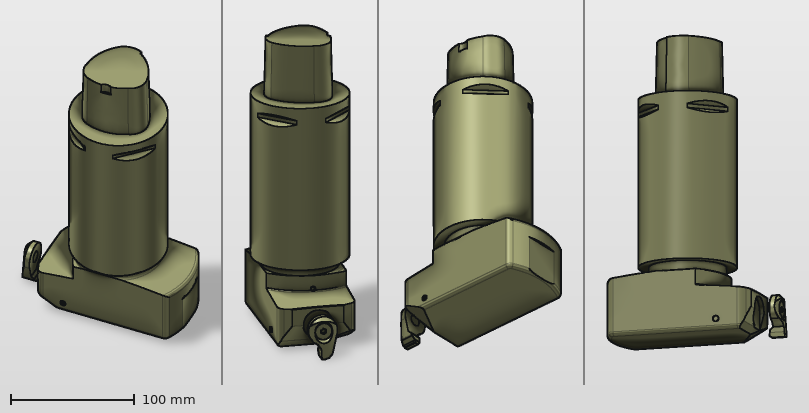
import cadquery as cq
import math


SHANK_HEIGHT = 47.9
LOBE_CENTRE = 10.2
LOBE_RADIUS = 19.3
FLANK_RADIUS = 35.5
SHANK_DRAFT = 1.12
KEY_DIAMETER = 12.5
KEY_DEPTH = 8.0
KEY_AXIS_Y = -28.5

SLEEVE_RADIUS = 80.0 / 2
SLEEVE_BOTTOM = -138.0
NECK_RADIUS = 63.0 / 2
NECK_OVERLAP = 2.5
GRIP_Z = -12.2
GRIP_DEPTH = 4.5
GRIP_FLOOR_HEIGHT = 3.2
GRIP_MOUTH_HEIGHT = 9.5

HEAD_TOP = -145.5
HEAD_BOTTOM = -196.5
HEAD_HALF_WIDTH = 32.2
HEAD_REACH = 65.0
FRONT_X = -61.0
FRONT_CHAMFER_Y = 21.3
FRONT_CHAMFER_LENGTH = 4.0
FRONT_CORNER_RADIUS = 6.5
REAR_CORNER_RADIUS = 5.5
ROOF_START = 36.5
ROOF_SLOPE = 7.7
RIM_RADIUS = 3.0
BOTTOM_RADIUS = 3.2
END_FLAT_X = 63.2
END_FLAT_TOP = -163.2

STEP_WALL_X = -32.7
STEP_WALL_Y = -5.5
STEP_WALL_RADIUS = 53.8
STEP_SLOPE = 7.0
STEP_ROOT_Z = -159.0
STEP_FILLET = 1.0
STEP_EDGE_CHAMFER = 0.5

RELIEF_TOP = -177.3
RELIEF_KNEE = (-57.5, -190.5)
RELIEF_FOOT_X = -54.0
BEVEL_POINT = (-59.0, -28.3, -185.5)
BEVEL_SLOPE_X = 0.53
BEVEL_SLOPE_Y = 0.28

COOLANT_Y = -3.0
COOLANT_Z = -157.0
COOLANT_DIAMETER = 4.0
COOLANT_BORE = 2.7
COOLANT_MOUTH_DEPTH = 1.0
COOLANT_LENGTH = 15.0

INSERT_BACK = -73.5
INSERT_FRONT = -81.8
RIM_FRONT = -78.0
DISC_RADIUS = 24.0 / 2
FACE_RADIUS = 19.8
FACE_TILT = 4.0
TIP_Z = -200.1
POCKET_DEPTH = 3.7
STEM_SIDE_Y = 2.5
STEM_HOLLOW = (4.2, -11.7)
STEM_SIDE_TOP_Z = -14.5
STEM_SIDE_END_Z = -18.5
NOSE_WIDE_Y = 2.0
NOSE_NARROW_Y = -1.2
NOSE_ROOT = (-1.5, -22.3)
TIP_CORNERS = [(-3.7, -22.0), (-7.0, -19.0), (-7.5, -17.9)]
INSERT_SPARE = 3.0
FOOT_BACK = -70.2
FOOT_TOP_Z = -191.7
FOOT_KNEE = (-71.0, -194.0)
FOOT_EDGE_Z = -198.6
FOOT_TIP_X = -72.0
STEM_BLEND = -45
STEM_TANGENT = 195

SCREW_HEAD_DIAMETER = 14.0
SCREW_HEAD_FRONT = -80.0
SCREW_HEAD_HEIGHT = 3.0
SCREW_SHANK_DIAMETER = 9.5
SOCKET_DIAMETER = 4.7
SOCKET_DEPTH = 2.5

PIN_X = -34.7
PIN_Z = -188.0
PIN_DIAMETER = 4.7
PIN_RECESS = 1.5
PIN_PROUD = 1.0
PIN_BORE_DIAMETER = 1.5
PIN_BORE_DEPTH = 3.7

FAR = 148.8


def polar(radius, degrees):
    angle = math.radians(degrees)
    return radius * math.cos(angle), radius * math.sin(angle)


def drop(distance, slope):
    """Fall over a horizontal distance at a slope in degrees."""
    return distance * math.tan(math.radians(slope))


def lobed_outline(z, offset):
    """Constant-width rounded triangle of six 60 degree arcs, shrunk by offset."""
    wire = cq.Workplane("XY", origin=(0, 0, z))
    lobe_radius = LOBE_RADIUS - offset
    flank_radius = FLANK_RADIUS - offset

    def on_arc(centre_angle, radius, angle):
        cx, cy = polar(LOBE_CENTRE, centre_angle)
        dx, dy = polar(radius, angle)
        return cx + dx, cy + dy

    wire = wire.moveTo(*on_arc(90, lobe_radius, 60))
    for lobe in (90, 210, 330):
        wire = wire.threePointArc(on_arc(lobe, lobe_radius, lobe), on_arc(lobe, lobe_radius, lobe + 30))
        flank = lobe + 60
        opposite = flank + 180
        wire = wire.threePointArc(
            on_arc(opposite, flank_radius, flank), on_arc(opposite, flank_radius, flank + 30)
        )
    return wire.close().wire().val()


def make_shank():
    outlines = [lobed_outline(0, 0), lobed_outline(SHANK_HEIGHT, SHANK_DRAFT)]
    shank = cq.Workplane(cq.Solid.makeLoft(outlines, True))
    key = (
        cq.Workplane("XY", origin=(0, KEY_AXIS_Y, SHANK_HEIGHT - KEY_DEPTH))
        .circle(KEY_DIAMETER / 2)
        .extrude(KEY_DEPTH)
    )
    return shank.cut(key)


def make_sleeve():
    sleeve = cq.Workplane("XY").circle(SLEEVE_RADIUS).extrude(SLEEVE_BOTTOM)
    neck = (
        cq.Workplane("XY", origin=(0, 0, SLEEVE_BOTTOM))
        .circle(NECK_RADIUS)
        .extrude(HEAD_TOP - SLEEVE_BOTTOM - NECK_OVERLAP)
    )
    half_floor = GRIP_FLOOR_HEIGHT / 2
    half_mouth = GRIP_MOUTH_HEIGHT / 2
    floor_x = SLEEVE_RADIUS - GRIP_DEPTH
    grip = (
        cq.Workplane("XZ", origin=(0, 0, GRIP_Z))
        .polyline([
            (floor_x, -half_floor),
            (SLEEVE_RADIUS, -half_mouth),
            (SLEEVE_RADIUS, half_mouth),
            (floor_x, half_floor),
        ])
        .close()
        .extrude(SLEEVE_RADIUS, both=True)
    )
    for angle in (45, 135, 225, 315):
        sleeve = sleeve.cut(grip.rotate((0, 0, 0), (0, 0, 1), angle))
    return sleeve.union(neck)


def make_head_block():
    """Plan outline, rounded below, under a roof that turns about the shank axis."""
    end_x = math.sqrt(HEAD_REACH**2 - HEAD_HALF_WIDTH**2)
    block = (
        cq.Workplane("XY", origin=(0, 0, HEAD_BOTTOM))
        .moveTo(FRONT_X, FRONT_CHAMFER_Y)
        .lineTo(FRONT_X + FRONT_CHAMFER_LENGTH, HEAD_HALF_WIDTH)
        .lineTo(end_x, HEAD_HALF_WIDTH)
        .threePointArc((HEAD_REACH, 0), (end_x, -HEAD_HALF_WIDTH))
        .lineTo(FRONT_X + FRONT_CHAMFER_LENGTH, -HEAD_HALF_WIDTH)
        .lineTo(FRONT_X, -FRONT_CHAMFER_Y)
        .close()
        .extrude(HEAD_TOP - HEAD_BOTTOM)
    )
    block = block.edges("|Z").edges(">X").fillet(REAR_CORNER_RADIUS)
    front_corners = cq.selectors.BoxSelector(
        (FRONT_X + FRONT_CHAMFER_LENGTH / 2, -FAR, HEAD_BOTTOM),
        (0, FAR, HEAD_TOP),
    )
    block = block.edges("|Z").edges(front_corners).fillet(FRONT_CORNER_RADIUS)
    block = block.faces("<Z").edges().fillet(BOTTOM_RADIUS)
    end_flat = cq.Workplane("XY").box(FAR, FAR, FAR, centered=(False, True, False))
    block = block.cut(end_flat.translate((END_FLAT_X, 0, END_FLAT_TOP - FAR)))
    rim_z = HEAD_TOP - drop(HEAD_REACH - ROOF_START, ROOF_SLOPE)
    setback = RIM_RADIUS * math.tan(math.radians(90 - ROOF_SLOPE) / 2)
    back, rise = polar(setback, ROOF_SLOPE)
    envelope = (
        cq.Workplane("XZ")
        .moveTo(0, HEAD_BOTTOM)
        .lineTo(HEAD_REACH, HEAD_BOTTOM)
        .lineTo(HEAD_REACH, rim_z - setback)
        .tangentArcPoint((HEAD_REACH - back, rim_z + rise), relative=False)
        .lineTo(ROOF_START, HEAD_TOP)
        .lineTo(0, HEAD_TOP)
        .close()
        .revolve(360, (0, 0, 0), (0, 1, 0))
    )
    return block.intersect(envelope)


def step_cutter():
    """Room above the front step, bounded behind by the curved step wall."""
    wall_frame = cq.Workplane("XZ", origin=(STEP_WALL_X + STEP_WALL_RADIUS, STEP_WALL_Y, 0))
    return (
        wall_frame.moveTo(STEP_WALL_RADIUS, STEP_ROOT_Z)
        .lineTo(FAR, STEP_ROOT_Z - drop(FAR - STEP_WALL_RADIUS, STEP_SLOPE))
        .lineTo(FAR, 0)
        .lineTo(STEP_WALL_RADIUS, 0)
        .close()
        .revolve(360, (0, 0, 0), (0, 1, 0))
    )


def cut_step(head):
    """Step in front of the neck, rounded at the foot of its wall, with a broken front edge."""
    head = head.cut(step_cutter())
    root = cq.selectors.NearestToPointSelector((STEP_WALL_X, STEP_WALL_Y, STEP_ROOT_Z))
    head = head.edges(root).fillet(STEP_FILLET)
    front_z = STEP_ROOT_Z - drop(STEP_WALL_X - FRONT_X, STEP_SLOPE)
    front = cq.selectors.NearestToPointSelector((FRONT_X, 0, front_z))
    return head.edges(front).chamfer(STEP_EDGE_CHAMFER)


def relief_cutter():
    """Two sloping flats under the front face."""
    return (
        cq.Workplane("XZ")
        .moveTo(FRONT_X, RELIEF_TOP)
        .lineTo(*RELIEF_KNEE)
        .lineTo(RELIEF_FOOT_X, HEAD_BOTTOM)
        .lineTo(FRONT_X, HEAD_BOTTOM)
        .close()
        .extrude(HEAD_HALF_WIDTH, both=True)
    )


def bevel_cutter():
    """Room below the bevel of the front bottom corner on the -Y side."""
    normal = (-BEVEL_SLOPE_X, -BEVEL_SLOPE_Y, -1)
    plane = cq.Plane(origin=BEVEL_POINT, normal=normal)
    return cq.Workplane(plane).rect(FAR, FAR).extrude(FAR)


def pocket_cutter():
    """Seat in the front face for the disc of the insert and its stem."""
    plane = cq.Workplane("YZ", origin=(FRONT_X, 0, RELIEF_TOP))
    seat = plane.circle(DISC_RADIUS).extrude(POCKET_DEPTH)
    foot = HEAD_BOTTOM - RELIEF_TOP
    stem = plane.moveTo(-DISC_RADIUS, foot).lineTo(STEM_SIDE_Y, foot).lineTo(STEM_SIDE_Y, 0)
    stem = stem.lineTo(-DISC_RADIUS, 0).close().extrude(POCKET_DEPTH)
    return seat.union(stem)


def coolant_cutter():
    start = cq.Workplane("YZ", origin=(STEP_WALL_X, COOLANT_Y, COOLANT_Z))
    mouth = start.circle(COOLANT_DIAMETER / 2).extrude(COOLANT_MOUTH_DEPTH)
    return mouth.union(start.circle(COOLANT_BORE / 2).extrude(COOLANT_LENGTH))


def pin_hole():
    return (
        cq.Workplane("XZ", origin=(PIN_X, 0, PIN_Z))
        .circle(PIN_DIAMETER / 2)
        .extrude(HEAD_HALF_WIDTH, both=True)
    )


def make_holder():
    head = cut_step(make_head_block())
    head = head.cut(relief_cutter()).cut(bevel_cutter())
    head = head.cut(pocket_cutter()).cut(coolant_cutter()).cut(pin_hole())
    return make_shank().union(make_sleeve()).union(head)


def screw_solid():
    front = cq.Workplane("YZ", origin=(SCREW_HEAD_FRONT, 0, RELIEF_TOP))
    head = front.circle(SCREW_HEAD_DIAMETER / 2).extrude(SCREW_HEAD_HEIGHT)
    shank = front.circle(SCREW_SHANK_DIAMETER / 2).extrude(INSERT_BACK - SCREW_HEAD_FRONT)
    return head.union(shank)


def make_screw():
    socket = (
        cq.Workplane("YZ", origin=(SCREW_HEAD_FRONT, 0, RELIEF_TOP))
        .transformed(rotate=(0, 0, 90))
        .polygon(6, SOCKET_DIAMETER)
        .extrude(SOCKET_DEPTH)
    )
    return screw_solid().cut(socket)


def insert_outline():
    """Disc running into the stem, as seen along X, extruded through the whole thickness."""
    tip = TIP_Z - RELIEF_TOP
    return (
        cq.Workplane("YZ", origin=(INSERT_FRONT - INSERT_SPARE, 0, RELIEF_TOP))
        .moveTo(*polar(DISC_RADIUS, STEM_BLEND))
        .threePointArc(STEM_HOLLOW, (STEM_SIDE_Y, STEM_SIDE_TOP_Z))
        .lineTo(STEM_SIDE_Y, STEM_SIDE_END_Z)
        .lineTo(NOSE_WIDE_Y, tip)
        .lineTo(NOSE_NARROW_Y, tip)
        .lineTo(*NOSE_ROOT)
        .polyline(TIP_CORNERS, includeCurrent=True)
        .lineTo(*polar(DISC_RADIUS, STEM_TANGENT))
        .threePointArc((0, DISC_RADIUS), polar(DISC_RADIUS, STEM_BLEND))
        .close()
        .extrude(FOOT_BACK - INSERT_FRONT + INSERT_SPARE)
    )


def insert_thickness():
    """Flat back with a foot that flares out toward the tip."""
    front_x = INSERT_FRONT - INSERT_SPARE
    top_z = RELIEF_TOP + DISC_RADIUS
    return (
        cq.Workplane("XZ")
        .moveTo(front_x, top_z)
        .lineTo(INSERT_BACK, top_z)
        .lineTo(INSERT_BACK, FOOT_TOP_Z)
        .lineTo(*FOOT_KNEE)
        .lineTo(FOOT_BACK, FOOT_EDGE_Z)
        .lineTo(FOOT_TIP_X, TIP_Z)
        .lineTo(front_x, TIP_Z)
        .close()
        .extrude(DISC_RADIUS, both=True)
    )


def insert_face():
    """Round bar whose skin is the convex, tilted front face."""
    return (
        cq.Workplane("XY", origin=(INSERT_FRONT + FACE_RADIUS, 0, RELIEF_TOP))
        .transformed(rotate=(0, FACE_TILT, 0))
        .circle(FACE_RADIUS)
        .extrude(FAR, both=True)
    )


def rim_cutter():
    """Material in front of the 45 degree cone around the upper half of the disc."""
    reach = RIM_FRONT - INSERT_FRONT + INSERT_SPARE
    return (
        cq.Workplane("XY", origin=(0, 0, RELIEF_TOP))
        .moveTo(RIM_FRONT, DISC_RADIUS)
        .lineTo(RIM_FRONT - reach, DISC_RADIUS - reach)
        .lineTo(RIM_FRONT - reach, DISC_RADIUS + reach)
        .lineTo(RIM_FRONT, DISC_RADIUS + reach)
        .close()
        .revolve(180, (0, 0, 0), (1, 0, 0))
    )


def screw_sink():
    """Countersink that opens forward from the front of the screw head."""
    depth = SCREW_HEAD_FRONT - INSERT_FRONT + INSERT_SPARE
    radius = SCREW_HEAD_DIAMETER / 2
    start = cq.Vector(SCREW_HEAD_FRONT, 0, RELIEF_TOP)
    return cq.Workplane(cq.Solid.makeCone(radius, radius + depth, depth, start, cq.Vector(-1, 0, 0)))


def make_insert():
    insert = insert_outline().intersect(insert_thickness()).intersect(insert_face())
    return insert.cut(rim_cutter()).cut(screw_sink()).cut(screw_solid())


def make_pin():
    start_y = PIN_RECESS - HEAD_HALF_WIDTH
    front = cq.Workplane("XZ", origin=(PIN_X, start_y, PIN_Z))
    pin = front.circle(PIN_DIAMETER / 2).extrude(-(HEAD_HALF_WIDTH + PIN_PROUD - start_y))
    bore = front.circle(PIN_BORE_DIAMETER / 2).extrude(-PIN_BORE_DEPTH)
    return pin.cut(bore)


holder = make_holder()
insert = make_insert()
screw = make_screw()
pin = make_pin()
result = cq.Compound.makeCompound([holder.val(), insert.val(), screw.val(), pin.val()])